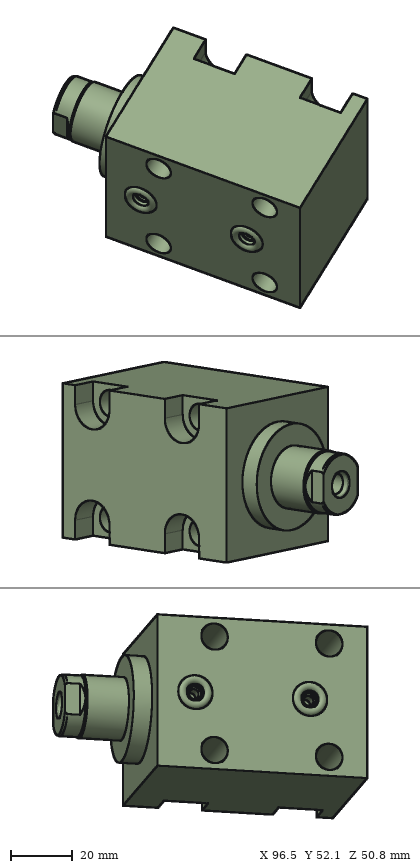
import cadquery as cq
import math

block_length = 69.6
block_side = 50.8
half_side = block_side / 2
front_y = -half_side

overall_length = 96.5
shaft_length = overall_length - block_length
flange_diameter = 34.9
flange_thickness = 6.1
shaft_diameter = 20.7
tip_diameter = 20.1
tip_length = 6.6
step_chamfer_length = 0.6
end_chamfer_length = 0.9
end_chamfer_depth = 0.3

flats_width = 17.2
flat_length = 5.0
bore_diameter = 6.7
bore_depth = 17.4
countersink_diameter = 8.8
lead_in_diameter = 8.1
lead_in_depth = 0.5
countersink_depth = 1.9

hole_diameter = 8.8
hole_pitch = 38.0
first_hole_x = 18.9
slot_width = 14.6
slot_depth = 9.0

first_port_x = 12.5
ring_outer_diameter = 11.4
ring_section_radius = 1.4
ring_projection = 1.3
port_seat_diameter = 5.6
port_mouth_diameter = 4.6
port_drill_diameter = 3.3
port_drill_depth = 5.8
drill_point_angle = 118.0


def make_shaft():
    """Revolve the flange, shaft and chamfered tip about X."""
    end_x = -shaft_length
    tip_radius = tip_diameter / 2
    step_x = end_x + tip_length
    profile = [
        (0, 0),
        (0, flange_diameter / 2),
        (-flange_thickness, flange_diameter / 2),
        (-flange_thickness, shaft_diameter / 2),
        (step_x + step_chamfer_length, shaft_diameter / 2),
        (step_x, tip_radius),
        (end_x + end_chamfer_length, tip_radius),
        (end_x, tip_radius - end_chamfer_depth),
        (end_x, 0),
    ]
    return cq.Workplane("XY").polyline(profile).close().revolve(360, (0, 0, 0), (1, 0, 0))


def wrench_flat(side):
    """Cutter for one flat, ending in a 45 degree run-out; side is +1 or -1 along Y."""
    end_x = -shaft_length
    flat_y = flats_width / 2
    outer_y = shaft_diameter / 2
    flat_end_x = end_x + flat_length
    profile = [
        (end_x, side * flat_y),
        (flat_end_x, side * flat_y),
        (flat_end_x + outer_y - flat_y, side * outer_y),
        (end_x, side * outer_y),
    ]
    return cq.Workplane("XY").polyline(profile).close().extrude(shaft_diameter / 2, both=True)


def end_bore():
    """Blind bore along the shaft with a two-stage conical countersink."""
    end_x = -shaft_length
    bore_radius = bore_diameter / 2
    profile = [
        (end_x, 0),
        (end_x, countersink_diameter / 2),
        (end_x + lead_in_depth, lead_in_diameter / 2),
        (end_x + countersink_depth, bore_radius),
        (end_x + bore_depth, bore_radius),
        (end_x + bore_depth, 0),
    ]
    return cq.Workplane("XY").polyline(profile).close().revolve(360, (0, 0, 0), (1, 0, 0))


def mounting_hole(x, side):
    """Through hole with a round-ended slot open to the top (+1) or bottom (-1)."""
    z = side * hole_pitch / 2
    floor_y = half_side - slot_depth
    back = cq.Workplane("XZ", origin=(x, half_side, 0))
    hole = back.center(0, z).circle(hole_diameter / 2).extrude(block_side)
    round_end = back.center(0, z).circle(slot_width / 2).extrude(slot_depth)
    opening = cq.Workplane("XY").box(slot_width, slot_depth, slot_width, centered=(True, False, True))
    opening = opening.translate((x, floor_y, z + side * slot_width / 2))
    return hole.union(round_end).union(opening)


def sealing_ring(x):
    """Torus standing partly proud of the front face."""
    ring_radius = ring_outer_diameter / 2 - ring_section_radius
    ring_y = front_y - ring_projection + ring_section_radius
    ring = cq.Solid.makeTorus(
        ring_radius, ring_section_radius, cq.Vector(x, ring_y, 0), cq.Vector(0, 1, 0)
    )
    return cq.Workplane(ring)


def port(x):
    """Port recess inside the ring: flat seat, countersink and drilled hole."""
    outer_y = front_y - ring_projection
    seat_y = outer_y + 2 * ring_section_radius
    mouth_radius = port_mouth_diameter / 2
    drill_radius = port_drill_diameter / 2
    drill_end_y = seat_y + port_drill_depth
    point_length = drill_radius / math.tan(math.radians(drill_point_angle / 2))
    profile = [
        (x, outer_y),
        (x + port_seat_diameter / 2, outer_y),
        (x + port_seat_diameter / 2, seat_y),
        (x + mouth_radius, seat_y),
        (x + drill_radius, seat_y + mouth_radius - drill_radius),
        (x + drill_radius, drill_end_y),
        (x, drill_end_y + point_length),
    ]
    return cq.Workplane("XY").polyline(profile).close().revolve(360, (x, 0, 0), (x, 1, 0))


block = cq.Workplane("XY").box(block_length, block_side, block_side, centered=(False, True, True))
result = block.union(make_shaft()).cut(end_bore())

for side in (1, -1):
    result = result.cut(wrench_flat(side))

for column in range(2):
    column_offset = column * hole_pitch
    for side in (1, -1):
        result = result.cut(mounting_hole(first_hole_x + column_offset, side))
    port_x = first_port_x + column_offset
    result = result.union(sealing_ring(port_x)).cut(port(port_x))